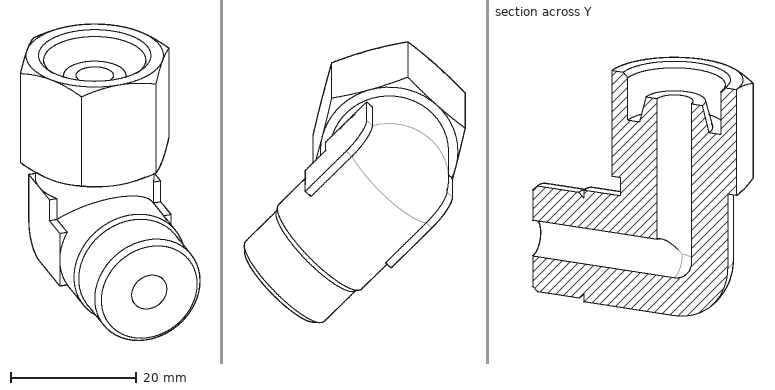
import cadquery as cq
import math

body_diameter = 19.0
body_radius = body_diameter / 2
axis_height = body_radius
bore_diameter = 6.0
bore_radius = bore_diameter / 2

collar_end = 16.0
arm_end = 25.0
thread_diameter = 18.0
thread_root_diameter = 16.35
thread_chamfer = (thread_diameter - thread_root_diameter) / 2

flat_offset = body_radius / 2
flat_top = 18.0

nut_across_flats = 22.0
nut_across_corners = nut_across_flats / math.cos(math.pi / 6)
nut_bottom = 22.0
nut_top = 40.0
nut_chamfer_angle = math.radians(30)
cavity_floor = 32.0

nipple_tip_diameter = 10.0
nipple_base_diameter = 12.3
nipple_top = 36.4


def upright_cylinder(diameter, bottom, top):
    return cq.Workplane("XY").workplane(offset=bottom).circle(diameter / 2).extrude(top - bottom)


def side_cylinder(diameter, start, end):
    plane = cq.Workplane("YZ", origin=(start, 0, axis_height))
    return plane.circle(diameter / 2).extrude(end - start)


def elbow_ball(radius):
    return cq.Workplane("XY").sphere(radius).translate((0, 0, axis_height))


def make_elbow():
    elbow = elbow_ball(body_radius)
    elbow = elbow.union(upright_cylinder(body_diameter, axis_height, nut_bottom))
    return elbow.union(side_cylinder(body_diameter, 0, collar_end))


def make_thread():
    thread = side_cylinder(thread_diameter, collar_end, arm_end)
    return thread.faces("<X or >X").chamfer(thread_chamfer)


def make_wrench_flats():
    """L-shaped block, as wide as the body, with a rounded outer corner."""
    arc_middle = flat_offset * math.sqrt(0.5)
    return (
        cq.Workplane("XZ")
        .moveTo(-flat_offset, flat_top)
        .lineTo(flat_offset, flat_top)
        .lineTo(flat_offset, axis_height + flat_offset)
        .lineTo(body_radius, axis_height + flat_offset)
        .lineTo(body_radius, axis_height - flat_offset)
        .lineTo(0, axis_height - flat_offset)
        .threePointArc((-arc_middle, axis_height - arc_middle), (-flat_offset, axis_height))
        .close()
        .extrude(body_radius, both=True)
    )


def make_nut():
    hexagon = (
        cq.Workplane("XY")
        .workplane(offset=nut_bottom)
        .polygon(6, nut_across_corners)
        .extrude(nut_top - nut_bottom)
        .rotate((0, 0, 0), (0, 0, 1), 30)
    )
    face_radius = nut_across_flats / 2
    corner_radius = nut_across_corners / 2
    corner_drop = (corner_radius - face_radius) * math.tan(nut_chamfer_angle)
    envelope = (
        cq.Workplane("XZ")
        .moveTo(0, nut_bottom)
        .lineTo(face_radius, nut_bottom)
        .lineTo(corner_radius, nut_bottom + corner_drop)
        .lineTo(corner_radius, nut_top - corner_drop)
        .lineTo(face_radius, nut_top)
        .lineTo(0, nut_top)
        .close()
        .revolve(360, (0, 0, 0), (0, 1, 0))
    )
    cavity = upright_cylinder(thread_root_diameter, cavity_floor, nut_top)
    nut = hexagon.intersect(envelope).cut(cavity)
    mouth_edge = cq.selectors.RadiusNthSelector(0)
    return nut.faces(">Z").edges("%CIRCLE").edges(mouth_edge).chamfer(thread_chamfer)


def make_nipple():
    return (
        cq.Workplane("XZ")
        .moveTo(0, cavity_floor)
        .lineTo(nipple_base_diameter / 2, cavity_floor)
        .lineTo(nipple_tip_diameter / 2, nipple_top)
        .lineTo(0, nipple_top)
        .close()
        .revolve(360, (0, 0, 0), (0, 1, 0))
    )


def make_bore():
    bore = elbow_ball(bore_radius)
    bore = bore.union(upright_cylinder(bore_diameter, axis_height, nut_top))
    return bore.union(side_cylinder(bore_diameter, 0, arm_end))


result = (
    make_elbow()
    .union(make_thread())
    .union(make_wrench_flats())
    .union(make_nut())
    .union(make_nipple())
    .cut(make_bore())
)